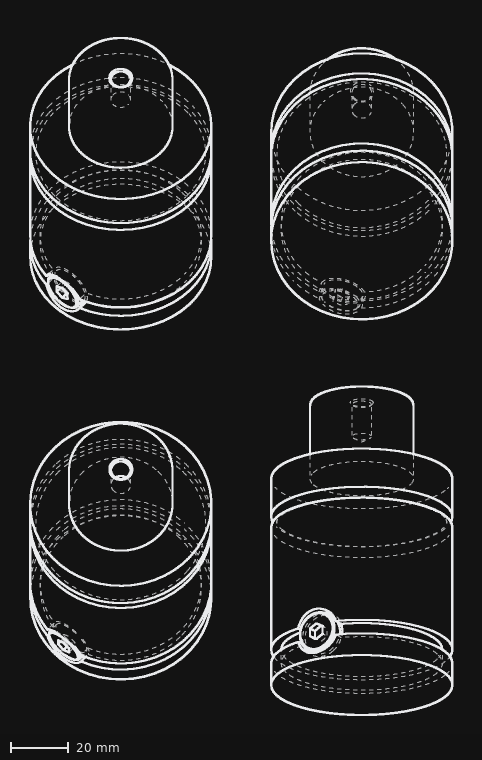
import cadquery as cq
import math

body_diameter = 63.0
body_height = 76.0
body_radius = body_diameter / 2

overall_height = 104.0
rod_diameter = 36.0
rod_edge_fillet = 1.0

square_groove_bottom = 8.0
square_groove_top = 13.0
square_groove_diameter = 56.1

round_groove_radius = 2.0
round_groove_height = 60.0

rod_hole_diameter = 6.8
rod_hole_depth = 12.5
rod_hole_mouth_diameter = 8.0
drill_point_angle = 118.0

port_height = 10.5
port_diameter = 16.0
port_floor_distance = 26.8
screw_diameter = 14.0
screw_face_distance = 31.0
screw_chamfer = 0.5
hex_across_flats = 5.0
hex_depth = 3.1


def make_body():
    """Body and rod, with both ring grooves cut into the body."""
    body = cq.Workplane("XY").circle(body_radius).extrude(body_height)
    rod = (
        cq.Workplane("XY")
        .circle(rod_diameter / 2)
        .extrude(overall_height)
        .faces(">Z")
        .edges()
        .fillet(rod_edge_fillet)
    )
    square_groove = (
        cq.Workplane("XY", origin=(0, 0, square_groove_bottom))
        .circle(body_diameter)
        .circle(square_groove_diameter / 2)
        .extrude(square_groove_top - square_groove_bottom)
    )
    round_groove = cq.Workplane("XY").add(
        cq.Solid.makeTorus(body_radius, round_groove_radius, cq.Vector(0, 0, round_groove_height))
    )
    return body.cut(square_groove).cut(round_groove).union(rod)


def make_rod_hole():
    """Drilled hole with a 45 degree mouth and a conical bottom, as a profile revolved about Z."""
    radius = rod_hole_diameter / 2
    mouth_radius = rod_hole_mouth_diameter / 2
    mouth_depth = mouth_radius - radius
    point_length = radius / math.tan(math.radians(drill_point_angle / 2))
    shoulder_height = overall_height - rod_hole_depth
    return (
        cq.Workplane("XZ")
        .moveTo(0, overall_height)
        .lineTo(mouth_radius, overall_height)
        .lineTo(radius, overall_height - mouth_depth)
        .lineTo(radius, shoulder_height)
        .lineTo(0, shoulder_height - point_length)
        .close()
        .revolve(360, (0, 0, 0), (0, 1, 0))
    )


def port_plane(distance):
    """Plane across the port axis at a distance from the body axis, facing outward along -Y."""
    return cq.Workplane("XZ", origin=(0, -distance, port_height))


def make_port():
    """Round pocket from its floor out through the body side."""
    return port_plane(port_floor_distance).circle(port_diameter / 2).extrude(body_radius - port_floor_distance)


def make_screw():
    """Screw head standing on the port floor, with a hexagon socket whose corners point up and down."""
    root_distance = square_groove_diameter / 4
    hex_circumdiameter = hex_across_flats / math.cos(math.pi / 6)
    head = (
        port_plane(root_distance)
        .circle(screw_diameter / 2)
        .extrude(screw_face_distance - root_distance)
        .faces("<Y")
        .edges()
        .chamfer(screw_chamfer)
    )
    socket = (
        port_plane(screw_face_distance)
        .transformed(rotate=(0, 0, 90))
        .polygon(6, hex_circumdiameter)
        .extrude(-hex_depth)
    )
    return head.cut(socket)


result = make_body().cut(make_rod_hole()).cut(make_port()).union(make_screw())